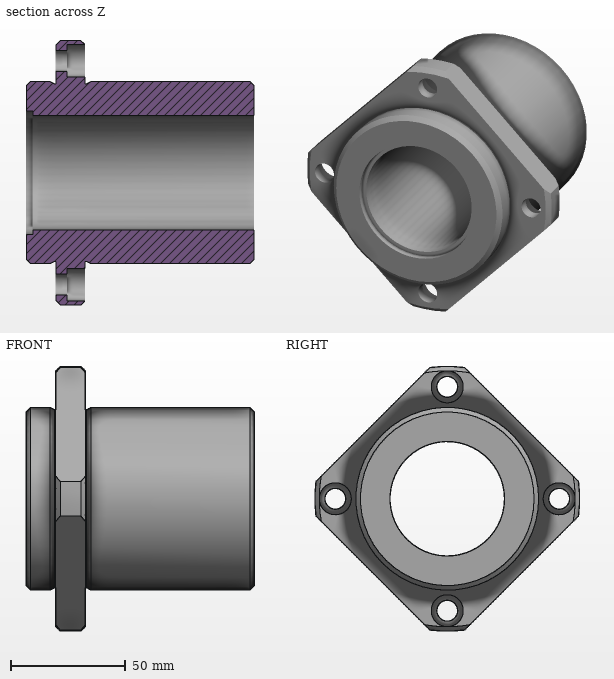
import cadquery as cq

FULL_TURN = 360.0

LENGTH = 100.0
SLEEVE_RADIUS = 80.0 / 2
BORE_RADIUS = 50.0 / 2
END_CHAMFER = 2.0

RECESS_RADIUS = 54.0 / 2
RECESS_DEPTH = 3.0

FLANGE_START = 13.0
FLANGE_THICKNESS = 13.0
FLANGE_END = FLANGE_START + FLANGE_THICKNESS
FLANGE_RADIUS = 116.0 / 2
FLANGE_ACROSS_FLATS = 92.0
FLANGE_CHAMFER = 2.0
FLANGE_TURN = 45.0

GROOVE_DEPTH = 1.0
GROOVE_FLOOR = 0.5
GROOVE_TAPER = 2.0
GROOVE_WIDTH = GROOVE_FLOOR + GROOVE_TAPER

HOLE_COUNT = 4
HOLE_DIAMETER = 9.0
HOLE_CIRCLE_RADIUS = 49.0
COUNTERBORE_DIAMETER = 14.0
COUNTERBORE_DEPTH = 8.0


def revolve_about_x(profile):
    """Turn an (X, radius) profile a full circle around the X axis."""
    return cq.Workplane("XY").polyline(profile).close().revolve(FULL_TURN, (0, 0, 0), (1, 0, 0))


def make_sleeve():
    """Solid turned body with chamfered ends and a relief groove on each side of the flange."""
    groove_radius = SLEEVE_RADIUS - GROOVE_DEPTH
    chamfer_radius = SLEEVE_RADIUS - END_CHAMFER
    return revolve_about_x([
        (0, 0),
        (0, chamfer_radius),
        (END_CHAMFER, SLEEVE_RADIUS),
        (FLANGE_START - GROOVE_WIDTH, SLEEVE_RADIUS),
        (FLANGE_START - GROOVE_FLOOR, groove_radius),
        (FLANGE_END + GROOVE_FLOOR, groove_radius),
        (FLANGE_END + GROOVE_WIDTH, SLEEVE_RADIUS),
        (LENGTH - END_CHAMFER, SLEEVE_RADIUS),
        (LENGTH, chamfer_radius),
        (LENGTH, 0),
    ])


def make_flange():
    """Chamfered disc cut to a square that stands on its corner."""
    chamfer_radius = FLANGE_RADIUS - FLANGE_CHAMFER
    disc = revolve_about_x([
        (FLANGE_START, 0),
        (FLANGE_START, chamfer_radius),
        (FLANGE_START + FLANGE_CHAMFER, FLANGE_RADIUS),
        (FLANGE_END - FLANGE_CHAMFER, FLANGE_RADIUS),
        (FLANGE_END, chamfer_radius),
        (FLANGE_END, 0),
    ])
    square = (
        cq.Workplane("YZ", origin=(FLANGE_START, 0, 0))
        .rect(FLANGE_ACROSS_FLATS, FLANGE_ACROSS_FLATS)
        .extrude(FLANGE_THICKNESS)
        .rotate((0, 0, 0), (1, 0, 0), FLANGE_TURN)
    )
    return disc.intersect(square)


def make_bore():
    """Through bore with the wider recess at the entry face."""
    bore = cq.Workplane("YZ").circle(BORE_RADIUS).extrude(LENGTH)
    recess = cq.Workplane("YZ").circle(RECESS_RADIUS).extrude(RECESS_DEPTH)
    return bore.union(recess)


def make_hole_pattern(start, diameter, depth):
    """Cylinders at the flange corners, running from the given X in the +X direction."""
    return (
        cq.Workplane("YZ", origin=(start, 0, 0))
        .polarArray(HOLE_CIRCLE_RADIUS, 0, FULL_TURN, HOLE_COUNT)
        .circle(diameter / 2)
        .extrude(depth)
    )


def make_screw_holes():
    """Through holes, counterbored from the sleeve side of the flange."""
    holes = make_hole_pattern(FLANGE_START, HOLE_DIAMETER, FLANGE_THICKNESS)
    counterbore_start = FLANGE_END - COUNTERBORE_DEPTH
    return holes.union(make_hole_pattern(counterbore_start, COUNTERBORE_DIAMETER, COUNTERBORE_DEPTH))


result = make_sleeve().union(make_flange()).cut(make_bore()).cut(make_screw_holes())